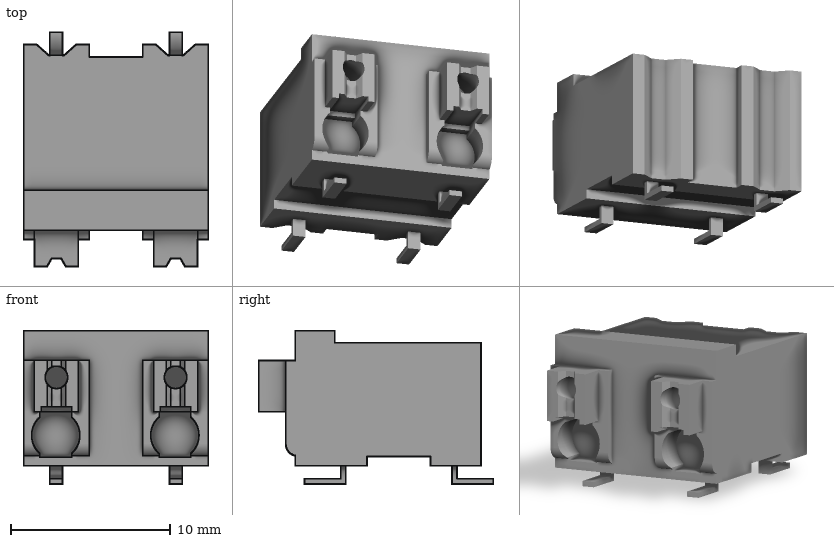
import cadquery as cq


overall_width = 11.62
overall_length = 14.75
overall_height = 9.65

pole_pitch = 7.5
pole_centers = [-pole_pitch / 2, pole_pitch / 2]

housing_front = 2.29
housing_rear = 13.98
housing_bottom = 1.14
housing_top = 8.9
ridge_rear = 4.8
underside_channel_front = 6.81
underside_channel_rear = 10.8
underside_channel_top = 1.73

boss_width = overall_width - pole_pitch
boss_front = 1.7
boss_bottom = 1.75
boss_top = 7.77
boss_bottom_radius = 0.77

button_width = 2.76
button_bottom = 4.55
button_rear = 2.95
button_groove_width = 1.18
button_groove_floor_width = 0.6
button_groove_depth = 0.5
tool_hole_diameter = 1.42
tool_hole_height = 6.71
button_notch_width = 1.92
button_notch_height = 0.31

opening_offset = -0.05
opening_radius = 1.52
opening_height = 3.07
opening_slot_width = 1.99
opening_floor = 1.68
opening_end = 3.6

rear_recess_width = overall_width - 2 * boss_width
rear_recess_depth = 0.8
rear_groove_width = 2.51
rear_groove_floor_width = 0.96
rear_groove_depth = 0.7

pin_pitch = 7.54
pin_centers = [-pin_pitch / 2, pin_pitch / 2]
pin_width = 0.81
pin_thickness = 0.34
pin_foot_length = 2.61
front_pin_toe = 2.88
rear_pin_toe = overall_length


def box_between(x_center, width, y_range, z_range):
    """A box of the given width about x_center, spanning the given Y and Z ranges."""
    length = y_range[1] - y_range[0]
    height = z_range[1] - z_range[0]
    box = cq.Workplane("XY").box(width, length, height, centered=(True, False, False))
    return box.translate((x_center, y_range[0], z_range[0]))


def rod_along_y(x_center, z_center, radius, y_range):
    """A cylinder along Y, spanning the given Y range."""
    start = cq.Vector(x_center, y_range[0], z_center)
    length = y_range[1] - y_range[0]
    return cq.Workplane(cq.Solid.makeCylinder(radius, length, start, cq.Vector(0, 1, 0)))


def tapered_groove(x_center, mouth_width, floor_width, mouth_y, floor_y, z_range):
    """A vertical groove with a trapezoidal section, wide at its mouth and narrow at its floor."""
    section = [
        (x_center - mouth_width / 2, mouth_y),
        (x_center + mouth_width / 2, mouth_y),
        (x_center + floor_width / 2, floor_y),
        (x_center - floor_width / 2, floor_y),
    ]
    height = z_range[1] - z_range[0]
    return cq.Workplane("XY").workplane(offset=z_range[0]).polyline(section).close().extrude(height)


def make_boss(x_center):
    """A front boss with a rounded lower edge, rooted in the housing behind its front face."""
    boss_root = boss_front + 2 * boss_bottom_radius
    boss = box_between(x_center, boss_width, (boss_front, boss_root), (boss_bottom, boss_top))
    return boss.edges("<Y and <Z").fillet(boss_bottom_radius)


def make_wire_opening(pole_x):
    """A blind opening: a bore cut flat at its floor, crossed by a slot from there up to the button."""
    x_center = pole_x + opening_offset
    y_range = (boss_front, opening_end)
    slot = box_between(x_center, opening_slot_width, y_range, (opening_floor, button_bottom))
    bore = rod_along_y(x_center, opening_height, opening_radius, y_range)
    bore_limits = box_between(x_center, 2 * opening_radius, y_range, (opening_floor, button_bottom))
    return slot.union(bore.intersect(bore_limits))


def make_housing():
    y_range = (housing_front, housing_rear)
    housing = box_between(0, overall_width, y_range, (housing_bottom, housing_top))

    ridge = box_between(0, overall_width, (housing_front, ridge_rear), (housing_top, overall_height))
    housing = housing.union(ridge)

    channel_y = (underside_channel_front, underside_channel_rear)
    channel = box_between(0, overall_width, channel_y, (housing_bottom, underside_channel_top))
    housing = housing.cut(channel)

    full_height = (housing_bottom, housing_top)
    recess_y = (housing_rear - rear_recess_depth, housing_rear)
    housing = housing.cut(box_between(0, rear_recess_width, recess_y, full_height))

    for x in pole_centers:
        rear_groove = tapered_groove(
            x,
            rear_groove_width,
            rear_groove_floor_width,
            housing_rear,
            housing_rear - rear_groove_depth,
            full_height,
        )
        button_seat = box_between(x, button_width, (boss_front, button_rear), (button_bottom, boss_top))
        housing = housing.union(make_boss(x))
        housing = housing.cut(rear_groove).cut(button_seat).cut(make_wire_opening(x))
    return housing


def make_button(x_center):
    """A push button with a grooved face, a round tool hole and a notch along its underside."""
    y_range = (0, button_rear)
    button = box_between(x_center, button_width, y_range, (button_bottom, boss_top))
    groove = tapered_groove(
        x_center,
        button_groove_width,
        button_groove_floor_width,
        0,
        button_groove_depth,
        (button_bottom, boss_top),
    )
    tool_hole = rod_along_y(x_center, tool_hole_height, tool_hole_diameter / 2, y_range)
    notch_z = (button_bottom, button_bottom + button_notch_height)
    notch = box_between(x_center, button_notch_width, y_range, notch_z)
    return button.cut(groove).cut(tool_hole).cut(notch)


def make_pin(x_center, toe_y, heel_direction):
    """An L-shaped pin: a flat foot from toe to heel (+1 is rearward), and a leg up from the heel."""
    heel_y = toe_y + heel_direction * pin_foot_length
    leg_inner_y = heel_y - heel_direction * pin_thickness
    profile = [
        (toe_y, 0),
        (heel_y, 0),
        (heel_y, housing_bottom),
        (leg_inner_y, housing_bottom),
        (leg_inner_y, pin_thickness),
        (toe_y, pin_thickness),
    ]
    pin = cq.Workplane("YZ").polyline(profile).close().extrude(pin_width / 2, both=True)
    return pin.translate((x_center, 0, 0))


housing = make_housing()
buttons = [make_button(x) for x in pole_centers]
front_pins = [make_pin(x, front_pin_toe, 1) for x in pin_centers]
rear_pins = [make_pin(x, rear_pin_toe, -1) for x in pin_centers]

bodies = [housing, *buttons, *front_pins, *rear_pins]
result = cq.Compound.makeCompound([body.val() for body in bodies])